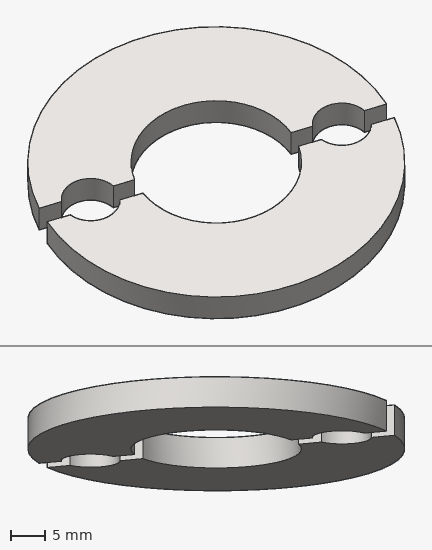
import cadquery as cq

outer_diameter = 55.15
bore_diameter = 24.9
thickness = 4.6

bolt_hole_diameter = 8.6
bolt_circle_diameter = 39.8

left_face_x = -1.25
right_face_x = 1.7


def drilled_ring():
    """Full ring with its bore and the two bolt holes."""
    bolt_radius = bolt_circle_diameter / 2
    return (
        cq.Workplane("XY")
        .circle(outer_diameter / 2)
        .circle(bore_diameter / 2)
        .extrude(thickness)
        .cut(
            cq.Workplane("XY")
            .pushPoints([(0, -bolt_radius), (0, bolt_radius)])
            .circle(bolt_hole_diameter / 2)
            .extrude(thickness)
        )
    )


def ring_segment(x_min, x_max):
    """Part of the drilled ring between two planes of constant X."""
    slab = (
        cq.Workplane("XY")
        .box(x_max - x_min, outer_diameter, thickness, centered=(False, True, False))
        .translate((x_min, 0, 0))
    )
    return drilled_ring().intersect(slab)


left_half = ring_segment(-outer_diameter / 2, left_face_x)
right_half = ring_segment(right_face_x, outer_diameter / 2)

result = cq.Compound.makeCompound([left_half.val().Solids()[0], right_half.val().Solids()[0]])